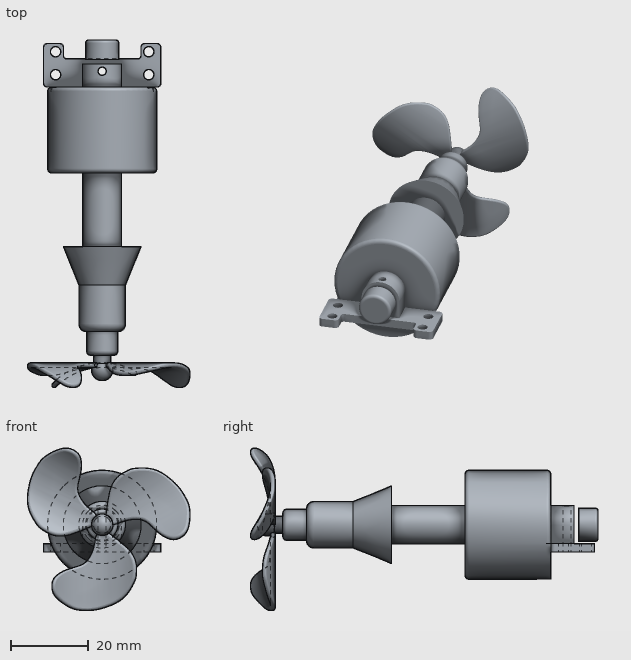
import cadquery as cq


plug_length = 5.0
plug_radius = 4.3
plug_edge = 0.8

tube_radius = 5.0
tube_rear = 6.2
motor_rear = 12.2
motor_front = 34.3
motor_radius = 14.05
motor_edge = 1.1

bracket_rear = 0.9
bracket_front = motor_rear
bracket_half_width = 15.1
bracket_top = -4.8
bracket_thickness = 2.2
bracket_bottom = bracket_top - bracket_thickness
bracket_corner = 1.1
notch_half_width = 9.9
notch_front = 4.8
notch_corner = 0.7
screw_hole_diameter = 2.6
screw_hole_x = 12.0
screw_hole_stations = (3.0, 8.95)
centre_hole_diameter = 2.1
centre_hole_station = 8.1

cone_rear = 53.2
cone_front = 63.1
cone_radius = 10.0
barrel_front = 75.1
barrel_radius = 6.0
barrel_edge = 2.0
nose_front = 81.2
nose_radius = 4.0
nose_edge = 1.1
shaft_radius = 2.2

overall_length = 89.5
propeller_rear = 83.1
hub_radius = 2.8
hub_station = 84.95
blade_count = 3
blade_thickness = 1.25
blade_front_rim = 0.6
blade_back_rim = 0.45
blade_curve_radius = 16.65
blade_root_radius = 1.3
blade_root_half_width = 0.7
blade_root = (-1.7, -3.2)
blade_stretches = [
    ([(-2.4, -6.6), (-4.3, -9.7), (-8.3, -11.3)], (-1.0, -0.3)),
    ([(-11.55, -12.9), (-13.0, -15.75)], (0, -1)),
    ([(-11.5, -19.15), (-7.7, -21.6), (-3.8, -22.1)], (1, 0)),
    ([(1.3, -21.1), (6.0, -18.35), (8.3, -14.7), (8.9, -11.5)], (0, 1)),
    ([(7.1, -6.6), (4.2, -4.0), (2.0, -2.3)], (-1.0, 0.7)),
]
blade_start_direction = (-0.1, -1)


def cylinder(radius, rear, front):
    """Cylinder on the Y axis between two stations."""
    return cq.Workplane("XZ", origin=(0, -rear, 0)).circle(radius).extrude(front - rear)


def block(half_width, rear, front, bottom, top):
    """Box centred on X between two stations and two heights."""
    size = (2 * half_width, front - rear, top - bottom)
    return cq.Workplane("XY", origin=(0, -front, bottom)).box(*size, centered=(True, False, False))


def vertical_holes(diameter, points):
    """Cutters for holes through the bracket and the tube above it."""
    return (
        cq.Workplane("XY", origin=(0, 0, bracket_bottom))
        .pushPoints(points)
        .circle(diameter / 2)
        .extrude(tube_radius - bracket_bottom)
    )


def make_plug():
    return cylinder(plug_radius, 0, plug_length).faces(">Y").edges().fillet(plug_edge)


def make_motor():
    """Rounded drum whose rear rim stays square below the top of the bracket."""
    square = cylinder(motor_radius, motor_rear, motor_front).faces("<Y").edges().fillet(motor_edge)
    rounded = square.faces(">Y").edges().fillet(motor_edge)
    lower = block(motor_radius, motor_rear, motor_front, -motor_radius, bracket_top)
    return rounded.union(square.intersect(lower))


def make_bracket():
    plate = block(bracket_half_width, bracket_rear, bracket_front, bracket_bottom, bracket_top)
    notch = block(notch_half_width, bracket_rear, notch_front, bracket_bottom, bracket_top)
    notch = notch.edges("|Z and <Y").fillet(notch_corner)
    return plate.cut(notch).edges("|Z").edges(">Y or <Y").fillet(bracket_corner)


def make_housing():
    """Motor, its tube and the mounting bracket."""
    tube = cylinder(tube_radius, tube_rear, cone_rear)
    saddle = block(tube_radius, tube_rear, motor_rear, bracket_top, 0)
    body = make_motor().union(tube).union(saddle).union(make_bracket())
    screw_points = [(side * screw_hole_x, -station) for side in (-1, 1) for station in screw_hole_stations]
    body = body.cut(vertical_holes(screw_hole_diameter, screw_points))
    return body.cut(vertical_holes(centre_hole_diameter, [(0, -centre_hole_station)]))


def make_coupling():
    """Flared collar, barrel and nose with the propeller shaft."""
    cone = (
        cq.Workplane("XY")
        .polyline([(0, -cone_rear), (cone_radius, -cone_rear), (barrel_radius, -cone_front), (0, -cone_front)])
        .close()
        .revolve(360, (0, 0, 0), (0, 1, 0))
    )
    barrel = cylinder(barrel_radius, cone_front, barrel_front).faces("<Y").edges().fillet(barrel_edge)
    nose = cylinder(nose_radius, barrel_front, nose_front).faces("<Y").edges().fillet(nose_edge)
    shaft = cylinder(shaft_radius, nose_front, hub_station)
    return cone.union(barrel).union(nose).union(shaft)


def round_rim(blade, side, radius):
    """Round the outer edge of the blade's front (side -1) or back (side 1) face."""
    faces = [face for face in blade.Faces() if face.geomType() == "CYLINDER"]
    blade_face = max(faces, key=lambda face: side * face.Center().y)
    rim = max(blade_face.Edges(), key=lambda edge: edge.Length())
    return blade.fillet(radius, [rim])


def make_blade():
    """Blade cut from a cylindrical shell that runs along Z, with rounded rims."""
    back_radius = blade_curve_radius + blade_thickness
    curve_centre = propeller_rear + back_radius
    outline = cq.Workplane("XZ", origin=(0, -propeller_rear, 0)).moveTo(*blade_root)
    direction = blade_start_direction
    for points, end_direction in blade_stretches:
        outline = outline.spline(points, tangents=[direction, end_direction], includeCurrent=True)
        direction = end_direction
    prism = (
        outline.lineTo(blade_root_half_width, -blade_root_radius)
        .lineTo(-blade_root_half_width, -blade_root_radius)
        .close()
        .extrude(overall_length - propeller_rear + blade_thickness)
    )
    blade_reach = overall_length / 2
    shell = (
        cq.Workplane("XY", origin=(0, -curve_centre, -blade_reach))
        .circle(back_radius)
        .circle(blade_curve_radius)
        .extrude(blade_reach)
    )
    blade = prism.intersect(shell).val().Solids()[0]
    blade = round_rim(blade, -1, blade_front_rim)
    return round_rim(blade, 1, blade_back_rim)


def make_rotor():
    """Coupling, hub and propeller blades."""
    hub = cq.Workplane("XY", origin=(0, -hub_station, 0)).sphere(hub_radius)
    rotor = make_coupling().union(hub)
    blade = make_blade()
    for index in range(blade_count):
        turned_blade = blade.rotate((0, 0, 0), (0, 1, 0), index * 360 / blade_count)
        rotor = rotor.union(cq.Workplane(turned_blade))
    return rotor.solids()


plug = make_plug()
housing = make_housing()
rotor = make_rotor()

result = cq.Compound.makeCompound([plug.val(), housing.val(), rotor.val()])